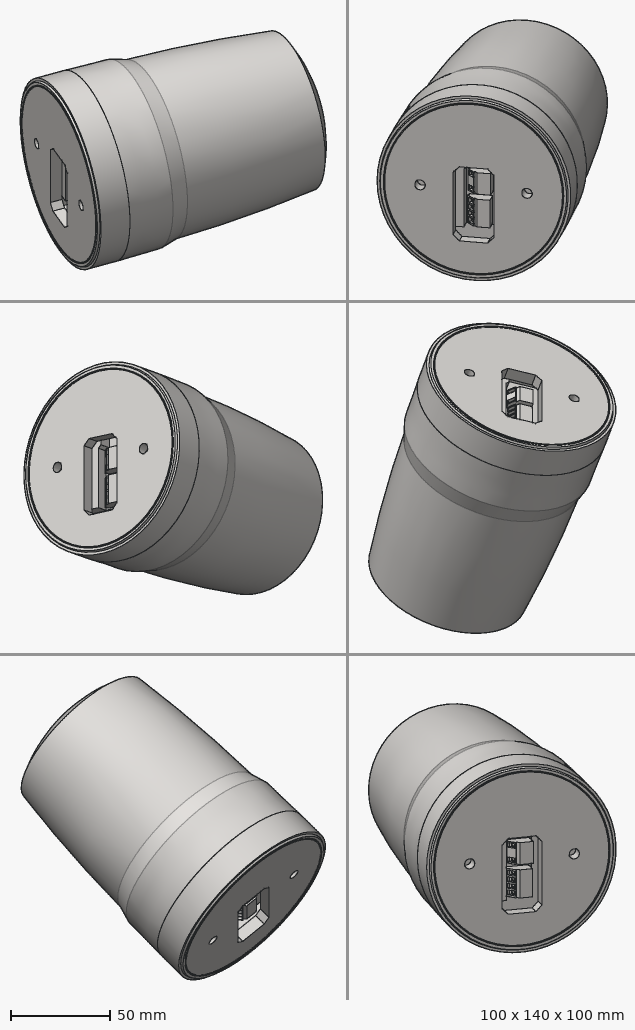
import cadquery as cq
import math

LENGTH = 140.0

BASE_RADIUS = 50.0
BASE_TOP = 17.1
RIM_HEIGHT = 1.1
RIM_ROOT_RADIUS = 48.6
RIM_FACE_RADIUS = 48.0
GROOVE_RADIUS = 46.5
GROOVE_WIDTH = 0.5
GROOVE_DEPTH = 0.5

SHOULDER_BOTTOM = 41.0
SHOULDER_BOTTOM_RADIUS = 49.5
SHOULDER_TOP = 50.1
SHOULDER_TOP_RADIUS = 47.0
DOME_BOTTOM = 128.5
DOME_RADIUS = 41.7
SIDE_MIDDLE = 92.1
SIDE_MIDDLE_RADIUS = 45.2

HOLE_RADIUS = 2.7
HOLE_OFFSET = 27.6

FLOOR_THICKNESS = 6.5
OPENING_HALF_WIDTH = 10.5
OPENING_TOP = 11.5
OPENING_BOTTOM = -28.7
OPENING_CHAMFER = 3.2

CAVITY_DEPTH = 13.3
CAVITY_MARGIN = CAVITY_DEPTH - FLOOR_THICKNESS + 0.7

BOARD_THICKNESS = 0.8
BOARD_LEFT = -6.3
BOARD_RIGHT = 8.7
BOARD_TOP = 7.7
BOARD_BOTTOM = -23.5

LEDGE_TOP_RIGHT = -4.8
LEDGE_CORNER = LEDGE_TOP_RIGHT - BOARD_LEFT

BLOCK_FRONT = 5.7
BLOCK_BACK = CAVITY_DEPTH - BOARD_THICKNESS
BLOCK_WIDTH = 12.0
BLOCK_SLOPE_END = 0.7
PAD_TO_FRONT = 2.0
PAD_HEIGHT = 0.8
ENTRY_TO_PAD_EDGE = 0.4
ENTRY_LENGTH = 4.2
ENTRY_DEPTH = 1.7
WIRE_HOLE_RADIUS = 1.0
WIRE_HOLE_DEPTH = 0.8

UPPER_RIGHT = 7.7
UPPER_TOP = 6.7
UPPER_BOTTOM = -4.9
UPPER_ENTRY_HEIGHT = 2.4
UPPER_ENTRIES = 2
UPPER_PITCH = 7.7

LOWER_RIGHT = 7.3
LOWER_TOP = -7.7
LOWER_BOTTOM = -22.7
LOWER_ENTRY_HEIGHT = 2.5
LOWER_ENTRIES = 4
LOWER_PITCH = 3.5


def box(x_range, y_range, z_range):
    """Axis-aligned box between the given pairs of coordinates."""
    sizes = [high - low for low, high in (x_range, y_range, z_range)]
    corner = (x_range[0], y_range[0], z_range[0])
    return cq.Workplane("XY").box(*sizes, centered=False).translate(corner)


def plate(outline_points, y_start, y_end):
    """Plate parallel to the mounting face, from (x, z) points."""
    outline = cq.Workplane("XZ", origin=(0, y_start, 0)).polyline(outline_points).close()
    return outline.extrude(y_start - y_end)


def make_lens():
    """Domed lens: tapering collar, shoulder, bowed side and spherical dome."""
    dome_height = LENGTH - DOME_BOTTOM
    sphere_radius = (DOME_RADIUS**2 + dome_height**2) / (2 * dome_height)
    half_angle = math.asin(DOME_RADIUS / sphere_radius) / 2
    dome_middle = (
        LENGTH - sphere_radius * (1 - math.cos(half_angle)),
        sphere_radius * math.sin(half_angle),
    )
    return (
        cq.Workplane("YZ")
        .moveTo(BASE_TOP, 0)
        .lineTo(BASE_TOP, BASE_RADIUS)
        .lineTo(SHOULDER_BOTTOM, SHOULDER_BOTTOM_RADIUS)
        .lineTo(SHOULDER_TOP, SHOULDER_TOP_RADIUS)
        .threePointArc((SIDE_MIDDLE, SIDE_MIDDLE_RADIUS), (DOME_BOTTOM, DOME_RADIUS))
        .threePointArc(dome_middle, (LENGTH, 0))
        .close()
        .revolve(360, (0, 0, 0), (1, 0, 0))
    )


def make_base_disc():
    """Base disc with its tapering mounting rim and the ring groove in its face."""
    disc = (
        cq.Workplane("XY")
        .polyline([
            (0, 0),
            (-RIM_FACE_RADIUS, 0),
            (-RIM_ROOT_RADIUS, RIM_HEIGHT),
            (-BASE_RADIUS, RIM_HEIGHT),
            (-BASE_RADIUS, BASE_TOP),
            (0, BASE_TOP),
        ])
        .close()
        .revolve(360, (0, 0, 0), (0, 1, 0))
    )
    groove = (
        cq.Workplane("XZ")
        .circle(GROOVE_RADIUS)
        .circle(GROOVE_RADIUS - GROOVE_WIDTH)
        .extrude(-GROOVE_DEPTH)
    )
    return disc.cut(groove)


def make_mounting_holes():
    holes = cq.Workplane("XZ").pushPoints([(-HOLE_OFFSET, 0), (HOLE_OFFSET, 0)])
    return holes.circle(HOLE_RADIUS).extrude(-FLOOR_THICKNESS)


def make_opening():
    """Upright opening with chamfered corners through the floor."""
    opening = box(
        (-OPENING_HALF_WIDTH, OPENING_HALF_WIDTH),
        (0, FLOOR_THICKNESS),
        (OPENING_BOTTOM, OPENING_TOP),
    )
    return opening.edges("|Y").chamfer(OPENING_CHAMFER)


def make_cavity():
    """Cavity wider than the opening, less the ledge left of the board."""
    left = -OPENING_HALF_WIDTH - CAVITY_MARGIN
    top = OPENING_TOP + CAVITY_MARGIN
    cavity = box(
        (left, OPENING_HALF_WIDTH + CAVITY_MARGIN),
        (FLOOR_THICKNESS, CAVITY_DEPTH),
        (OPENING_BOTTOM - CAVITY_MARGIN, top),
    )
    ledge_outline = [
        (left, BOARD_BOTTOM),
        (BOARD_LEFT, BOARD_BOTTOM),
        (BOARD_LEFT, BOARD_TOP),
        (LEDGE_TOP_RIGHT, BOARD_TOP + LEDGE_CORNER),
        (LEDGE_TOP_RIGHT, top),
        (left, top),
    ]
    return cavity.cut(plate(ledge_outline, FLOOR_THICKNESS, CAVITY_DEPTH))


def make_terminal_block(right, top, bottom, entries, pitch, entry_height):
    """Terminal block on the board, with a column of wire entries in its sloping face."""
    left = right - BLOCK_WIDTH
    slope_run = BLOCK_SLOPE_END - left
    block = (
        cq.Workplane("XY", origin=(0, 0, bottom))
        .polyline([
            (left, BLOCK_BACK),
            (left, BLOCK_FRONT + slope_run),
            (BLOCK_SLOPE_END, BLOCK_FRONT),
            (right, BLOCK_FRONT),
            (right, BLOCK_BACK),
        ])
        .close()
        .extrude(top - bottom)
    )
    slope = cq.Plane(
        origin=(BLOCK_SLOPE_END, BLOCK_FRONT, (top + bottom) / 2),
        xDir=(1, -1, 0),
        normal=(-1, -1, 0),
    )
    pad_length = slope_run * math.sqrt(2) - PAD_TO_FRONT
    pad = (
        cq.Workplane(slope)
        .center(-PAD_TO_FRONT - pad_length / 2, 0)
        .rect(pad_length, top - bottom)
        .extrude(PAD_HEIGHT)
    )
    entry_middle = -PAD_TO_FRONT - ENTRY_TO_PAD_EDGE - ENTRY_LENGTH / 2
    entries_plane = cq.Workplane(slope).workplane(offset=PAD_HEIGHT).center(entry_middle, 0)
    entry_grid = entries_plane.rarray(1.4, pitch, 1, entries)
    recesses = entry_grid.rect(ENTRY_LENGTH, entry_height).extrude(-ENTRY_DEPTH)
    wire_holes = entry_grid.circle(WIRE_HOLE_RADIUS).extrude(-ENTRY_DEPTH - WIRE_HOLE_DEPTH)
    return block.union(pad).cut(recesses).cut(wire_holes)


def make_base():
    """Base with its mounting holes, wiring opening, board and terminal blocks."""
    board = box(
        (BOARD_LEFT, BOARD_RIGHT), (BLOCK_BACK, CAVITY_DEPTH), (BOARD_BOTTOM, BOARD_TOP)
    )
    upper_block = make_terminal_block(
        UPPER_RIGHT, UPPER_TOP, UPPER_BOTTOM, UPPER_ENTRIES, UPPER_PITCH, UPPER_ENTRY_HEIGHT
    )
    lower_block = make_terminal_block(
        LOWER_RIGHT, LOWER_TOP, LOWER_BOTTOM, LOWER_ENTRIES, LOWER_PITCH, LOWER_ENTRY_HEIGHT
    )
    return (
        make_base_disc()
        .cut(make_mounting_holes())
        .cut(make_opening())
        .cut(make_cavity())
        .union(board)
        .union(upper_block)
        .union(lower_block)
    )


lens = make_lens()
base = make_base()

result = cq.Compound.makeCompound([lens.val(), base.val()])